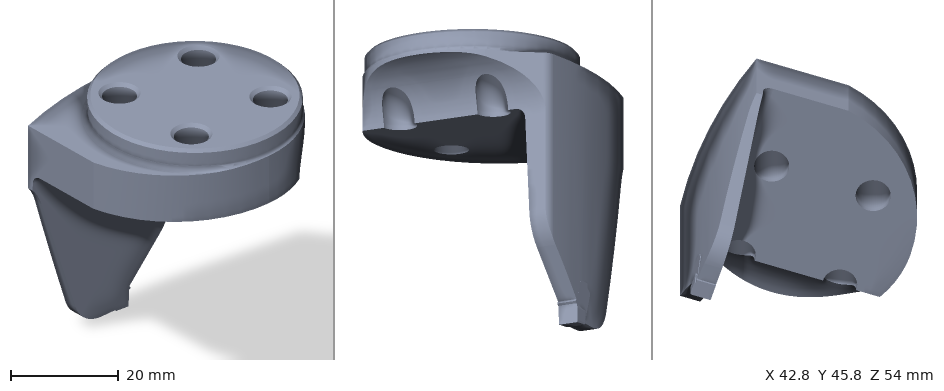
import cadquery as cq
import math


disc_radius = 20.0
disc_height = 4.4
disc_chamfer = 0.6
disc_root_radius = 1.0

flange_thickness = 10.0
flange_radius = 20.37
front_y = -25.42
left_peak_x = -22.19
left_radius = 79.0
back_flat_angle = 35.7
back_corner_radius = 2.5

hole_diameter = 6.5
hole_mouth_diameter = 7.8
hole_circle_diameter = 28.0
hole_count = 4

blade_inner_x = -16.6
blade_taper = 2.75
blade_root_radius = 2.0

blade_back_y = 9.9
back_scallop_radius = 11.4
back_slope = 40.0
back_slope_top_z = -33.6
back_slope_radius = 10.0
back_slope_setback = 0.3
front_slope = 20.0
front_relief_top_z = -13.5
front_relief_bottom_z = -17.4
front_slope_foot_y = -11.53
toe_radius = 7.2
blade_foot_z = -49.05

insert_cut_y = 0.2
insert_foot_z = -49.6
insert_foot_rise = 0.25
insert_shoulder_y = -4.9
insert_shoulder_bottom_z = -43.45
insert_shoulder_top_z = -42.7
insert_heel_y = -4.05
insert_heel_bottom_z = -42.1
insert_heel_top_z = -41.2
insert_back_y = -1.6
insert_back_top_z = -41.1
insert_nose_y = 0.6
insert_nose_z = -45.6
insert_throat_y = 0.1
insert_throat_z = -45.0
tip_proud = 0.24
tip_ramp_top_z = -45.95
tip_ramp_bottom_z = -46.85
tip_inner_top_y = -2.9
tip_inner_foot_y = -2.35
tip_bevel_height = 0.5
tip_bevel_depth = 0.1

margin = 10.0
span = 100.0


def slope_offset(drop, angle):
    """Sideways travel of a line that falls by `drop` at `angle` from vertical."""
    return drop * math.tan(math.radians(angle))


def side_prism(points):
    """Prism along X, centred on x = 0, from (y, z) points."""
    return cq.Workplane("YZ").polyline(points).close().extrude(span / 2, both=True)


def round_edge(body, point, radius):
    """Fillet the edge whose centre is nearest to the point."""
    return body.edges(cq.selectors.NearestToPointSelector(point)).fillet(radius)


def left_side_x(y):
    """X of the bowed left side at a given y."""
    return left_peak_x + left_radius - math.sqrt(left_radius**2 - y**2)


def flange_prism():
    """Plan outline of flange and blade as a tall prism."""
    front_arc_radius = (flange_radius**2 + front_y**2) / (2 * flange_radius)
    front_arc_x = flange_radius - front_arc_radius
    front_mid_angle = 0.5 * math.atan2(front_y, -front_arc_x)
    front_arc_mid = (
        front_arc_x + front_arc_radius * math.cos(front_mid_angle),
        front_arc_radius * math.sin(front_mid_angle),
    )

    slope = math.radians(back_flat_angle)
    flat_start = (-flange_radius * math.sin(slope), flange_radius * math.cos(slope))
    circle_mid_angle = (math.pi / 2 + slope) / 2
    circle_mid = (
        flange_radius * math.cos(circle_mid_angle),
        flange_radius * math.sin(circle_mid_angle),
    )
    corner_y = (flange_radius + left_peak_x * math.sin(slope)) / math.cos(slope)
    corner_y = (flange_radius + left_side_x(corner_y) * math.sin(slope)) / math.cos(slope)
    corner = (left_side_x(corner_y), corner_y)

    prism = (
        cq.Workplane("XY")
        .moveTo(0, front_y)
        .threePointArc(front_arc_mid, (flange_radius, 0))
        .threePointArc(circle_mid, flat_start)
        .lineTo(*corner)
        .threePointArc((left_peak_x, 0), (left_side_x(front_y), front_y))
        .close()
        .extrude(span, both=True)
    )
    return round_edge(prism, (corner[0], corner[1], 0), back_corner_radius)


def thickness_prism(outer_x):
    """Flange and tapered blade section in XZ, swept along Y; outer_x is its left face."""
    foot_z = insert_foot_z
    foot_x = blade_inner_x - slope_offset(-flange_thickness - foot_z, blade_taper)
    points = [
        (outer_x, 0),
        (flange_radius + margin, 0),
        (flange_radius + margin, -flange_thickness),
        (blade_inner_x, -flange_thickness),
        (foot_x, foot_z),
        (outer_x, foot_z),
    ]
    prism = cq.Workplane("XZ").polyline(points).close().extrude(span, both=True)
    return round_edge(prism, (blade_inner_x, 0, -flange_thickness), blade_root_radius)


def side_profile_prism():
    """Side profile of flange and blade in YZ, swept along X."""
    scallop_y = blade_back_y + back_scallop_radius
    scallop_reach = back_scallop_radius * math.sqrt(0.5)
    scallop_mid = (scallop_y - scallop_reach, scallop_reach - back_scallop_radius)
    back_end_y = insert_cut_y - back_slope_setback
    back_end_z = back_slope_top_z - (blade_back_y - back_end_y) / math.tan(math.radians(back_slope))
    relief_bottom_y = front_slope_foot_y - slope_offset(front_relief_bottom_z - blade_foot_z, front_slope)

    prism = (
        cq.Workplane("YZ")
        .moveTo(front_y, 0)
        .lineTo(scallop_y, 0)
        .threePointArc(scallop_mid, (blade_back_y, -back_scallop_radius))
        .lineTo(blade_back_y, back_slope_top_z)
        .lineTo(back_end_y, back_end_z)
        .lineTo(back_end_y, blade_foot_z)
        .lineTo(front_slope_foot_y, blade_foot_z)
        .lineTo(relief_bottom_y, front_relief_bottom_z)
        .tangentArcPoint((front_y, front_relief_top_z), relative=False)
        .close()
        .extrude(span / 2, both=True)
    )
    prism = round_edge(prism, (0, blade_back_y, back_slope_top_z), back_slope_radius)
    return round_edge(prism, (0, front_slope_foot_y, blade_foot_z), toe_radius)


def locating_disc():
    """Chamfered disc with a flared root, trimmed to the flange outline."""
    root_mid = disc_root_radius * (1 - math.sqrt(0.5))
    disc = (
        cq.Workplane("XZ")
        .moveTo(0, 0)
        .lineTo(disc_radius + disc_root_radius, 0)
        .threePointArc((disc_radius + root_mid, root_mid), (disc_radius, disc_root_radius))
        .lineTo(disc_radius, disc_height - disc_chamfer)
        .lineTo(disc_radius - disc_chamfer, disc_height)
        .lineTo(0, disc_height)
        .close()
        .revolve(360, (0, 0), (0, 1))
    )
    return disc.intersect(flange_prism())


def screw_holes():
    """Four through holes with chamfered mouths."""
    mouth_depth = (hole_mouth_diameter - hole_diameter) / 2
    total_depth = disc_height + flange_thickness
    hole = (
        cq.Workplane("XZ")
        .polyline([
            (0, disc_height),
            (hole_mouth_diameter / 2, disc_height),
            (hole_diameter / 2, disc_height - mouth_depth),
            (hole_diameter / 2, disc_height - total_depth),
            (0, disc_height - total_depth),
        ])
        .close()
        .revolve(360, (0, 0), (0, 1))
        .val()
    )
    return (
        cq.Workplane("XY")
        .polarArray(hole_circle_diameter / 2, 45, 360, hole_count, rotate=False)
        .eachpoint(lambda place: hole.moved(place), combine=False)
    )


def insert_outline_prism():
    """Side outline of the cutting insert, swept along X."""
    return side_prism([
        (insert_cut_y, insert_foot_z),
        (tip_inner_top_y, insert_foot_z + insert_foot_rise),
        (insert_shoulder_y, insert_shoulder_bottom_z),
        (insert_shoulder_y, insert_shoulder_top_z),
        (insert_heel_y, insert_heel_bottom_z),
        (insert_heel_y, insert_heel_top_z),
        (insert_back_y, insert_back_top_z),
        (insert_throat_y, insert_throat_z),
        (insert_nose_y, insert_nose_z),
        (insert_cut_y, tip_ramp_top_z),
    ])


def insert_tip():
    """Proud pad at the cutting end, with a ramp above its face and a bevel below."""
    foot_fraction = (insert_cut_y - tip_inner_foot_y) / (insert_cut_y - tip_inner_top_y)
    tip_foot_z = insert_foot_z + insert_foot_rise * foot_fraction
    face_x = left_peak_x - tip_proud
    pad = side_prism([
        (insert_cut_y, insert_foot_z),
        (tip_inner_foot_y, tip_foot_z),
        (tip_inner_top_y, tip_ramp_bottom_z),
        (insert_cut_y, tip_ramp_top_z),
    ])
    ramp = (
        cq.Workplane("XZ")
        .polyline([
            (left_peak_x, tip_ramp_top_z),
            (face_x, tip_ramp_bottom_z),
            (face_x, insert_foot_z + tip_bevel_height),
            (face_x + tip_bevel_depth, insert_foot_z),
            (left_peak_x, insert_foot_z),
        ])
        .close()
        .extrude(span, both=True)
    )
    return pad.intersect(ramp)


holder = flange_prism().intersect(thickness_prism(left_peak_x - margin)).intersect(side_profile_prism())
holder = holder.union(locating_disc()).cut(screw_holes()).cut(insert_outline_prism())

insert = insert_outline_prism().intersect(thickness_prism(left_peak_x)).union(insert_tip())

result = cq.Compound.makeCompound([holder.solids().val(), insert.solids().val()])